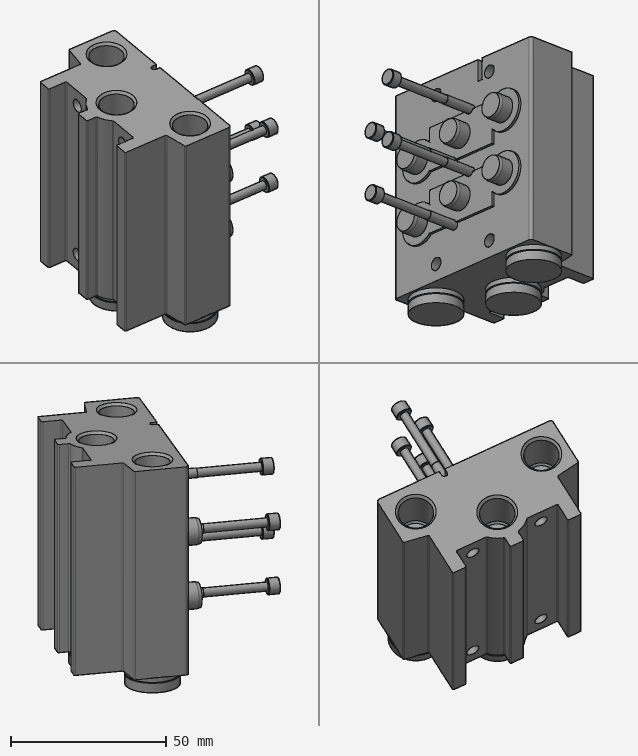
import cadquery as cq
import math

OVERALL_DEPTH = 73.1
OVERALL_HEIGHT = 77.2

HOUSING_WIDTH = 64.2
HOUSING_DEPTH = 36.0
HOUSING_HEIGHT = 71.95
BACK_EDGE_RADIUS = 1.0
SHOULDER_EDGE_Y = -18.2
SHOULDER_ROOT_Y = -19.7
LEG_OUTER_X = 23.55
LEG_INNER_X = 18.6
WEB_FRONT_Y = -29.0
CENTER_RIB_HALF_WIDTH = 2.5
CENTER_BULGE_RADIUS = 9.9
SMALL_EDGE_RADIUS = 0.5

SIDE_BORE_X = 23.0
SIDE_BORE_Y = -9.8
CENTER_BORE_Y = -22.5
BORE_CENTERS = [(-SIDE_BORE_X, SIDE_BORE_Y), (0, CENTER_BORE_Y), (SIDE_BORE_X, SIDE_BORE_Y)]
BORE_MOUTH_DIAMETER = 13.1
BORE_DIAMETER = 11.4
BORE_FLOOR_DIAMETER = 10.1
BORE_DEPTH = 15.45

COLLAR_DIAMETER = 18.0
COLLAR_HEIGHT = OVERALL_HEIGHT - HOUSING_HEIGHT
COLLAR_GROOVE_DEPTH = 0.2
COLLAR_GROOVE_WIDTH = 0.2
COLLAR_GROOVE_BELOW_HOUSING = 1.7

MOUNT_HOLE_DIAMETER = 4.5
MOUNT_HOLE_X = 12.5
MOUNT_HOLE_INSET = 6.0
SLOT_X = -8.1
SLOT_WIDTH = 2.0
SLOT_DEPTH = 2.55
SLOT_HEIGHT = 7.7

PLATE_CENTERS_Z = (47.1, 24.9)
PLATE_THICKNESS = 0.9
PLATE_END_RADIUS = 7.3
PLATE_BAR_HALF_LENGTH = 14.7
PLATE_BAR_HALF_HEIGHT = 7.65
PORT_X = 20.0
PORT_Z = 2.5
PORT_CENTERS = [(-PORT_X, PORT_Z), (0, 0), (PORT_X, -PORT_Z)]
PORT_DIAMETER = 8.9
PORT_TOP_Y = 6.5
PORT_CHAMFER_HEIGHT = 1.15
PORT_CHAMFER_WIDTH = 0.3
SCREW_NOTCH_DIAMETER = 3.5

SCREW_X = 4.0
SCREW_Z = 8.1
SCREW_OFFSETS = [(-SCREW_X, SCREW_Z), (SCREW_X, -SCREW_Z)]
HEAD_DIAMETER = 5.5
HEAD_TOP_Y = OVERALL_DEPTH - HOUSING_DEPTH
HEAD_HEIGHT = 3.85
HEAD_CHAMFER = 0.2
SHANK_DIAMETER = 3.0
THREAD_DIAMETER = 3.25
THREAD_START_Y = 11.8
THREAD_LENGTH = 18.0
THREAD_END_Y = THREAD_START_Y - THREAD_LENGTH

SCREW_CENTERS = [(x, plate_z + z) for plate_z in PLATE_CENTERS_Z for x, z in SCREW_OFFSETS]


def cylinder_along_y(diameter, start_y, end_y, x, z):
    """Cylinder from start_y toward the larger end_y."""
    return cq.Workplane("XZ", origin=(x, start_y, z)).circle(diameter / 2).extrude(start_y - end_y)


def make_profile():
    half_width = HOUSING_WIDTH / 2
    bulge_half_width = math.sqrt(CENTER_BULGE_RADIUS**2 - (CENTER_BORE_Y - WEB_FRONT_Y)**2)
    rib_root_y = CENTER_BORE_Y - math.sqrt(CENTER_BULGE_RADIUS**2 - CENTER_RIB_HALF_WIDTH**2)

    profile = (
        cq.Workplane("XY")
        .moveTo(-half_width, 0)
        .lineTo(half_width, 0)
        .lineTo(half_width, SHOULDER_EDGE_Y)
        .lineTo(LEG_OUTER_X, SHOULDER_ROOT_Y)
        .lineTo(LEG_OUTER_X, -HOUSING_DEPTH)
        .lineTo(LEG_INNER_X, -HOUSING_DEPTH)
        .lineTo(LEG_INNER_X, WEB_FRONT_Y)
        .lineTo(bulge_half_width, WEB_FRONT_Y)
        .radiusArc((CENTER_RIB_HALF_WIDTH, rib_root_y), CENTER_BULGE_RADIUS)
        .lineTo(CENTER_RIB_HALF_WIDTH, -HOUSING_DEPTH)
        .lineTo(-CENTER_RIB_HALF_WIDTH, -HOUSING_DEPTH)
        .lineTo(-CENTER_RIB_HALF_WIDTH, rib_root_y)
        .radiusArc((-bulge_half_width, WEB_FRONT_Y), CENTER_BULGE_RADIUS)
        .lineTo(-LEG_INNER_X, WEB_FRONT_Y)
        .lineTo(-LEG_INNER_X, -HOUSING_DEPTH)
        .lineTo(-LEG_OUTER_X, -HOUSING_DEPTH)
        .lineTo(-LEG_OUTER_X, SHOULDER_ROOT_Y)
        .lineTo(-half_width, SHOULDER_EDGE_Y)
        .close()
    )
    body = profile.extrude(HOUSING_HEIGHT)

    body = body.edges("|Z and >Y").fillet(BACK_EDGE_RADIUS)
    small_corners = [
        (half_width, SHOULDER_EDGE_Y),
        (LEG_OUTER_X, SHOULDER_ROOT_Y),
        (LEG_INNER_X, WEB_FRONT_Y),
        (bulge_half_width, WEB_FRONT_Y),
        (CENTER_RIB_HALF_WIDTH, rib_root_y),
    ]
    small_corners += [(x, -HOUSING_DEPTH) for x in (LEG_OUTER_X, LEG_INNER_X, CENTER_RIB_HALF_WIDTH)]
    for x, y in small_corners:
        for side in (-1, 1):
            corner = cq.selectors.NearestToPointSelector((side * x, y, HOUSING_HEIGHT / 2))
            body = body.edges(corner).fillet(SMALL_EDGE_RADIUS)
    return body


def make_bore(x, y):
    """Blind bore with a chamfered mouth and a chamfered floor, ready to cut."""
    mouth_chamfer = (BORE_MOUTH_DIAMETER - BORE_DIAMETER) / 2
    floor_chamfer = (BORE_DIAMETER - BORE_FLOOR_DIAMETER) / 2
    floor_z = HOUSING_HEIGHT - BORE_DEPTH
    return (
        cq.Workplane("XZ", origin=(x, y, 0))
        .moveTo(0, floor_z)
        .lineTo(BORE_FLOOR_DIAMETER / 2, floor_z)
        .lineTo(BORE_DIAMETER / 2, floor_z + floor_chamfer)
        .lineTo(BORE_DIAMETER / 2, HOUSING_HEIGHT - mouth_chamfer)
        .lineTo(BORE_MOUTH_DIAMETER / 2, HOUSING_HEIGHT)
        .lineTo(0, HOUSING_HEIGHT)
        .close()
        .revolve(360, (0, 0, 0), (0, 1, 0))
    )


def make_slot():
    """Round-bottomed slot in the back face, open at the top."""
    round_center_y = -SLOT_DEPTH + SLOT_WIDTH / 2
    return (
        cq.Workplane("XY", origin=(SLOT_X, 0, HOUSING_HEIGHT - SLOT_HEIGHT))
        .moveTo(-SLOT_WIDTH / 2, 0)
        .lineTo(-SLOT_WIDTH / 2, round_center_y)
        .threePointArc((0, -SLOT_DEPTH), (SLOT_WIDTH / 2, round_center_y))
        .lineTo(SLOT_WIDTH / 2, 0)
        .close()
        .extrude(SLOT_HEIGHT)
    )


def make_housing():
    body = make_profile()
    for x, y in BORE_CENTERS:
        body = body.cut(make_bore(x, y))
    for x in (-MOUNT_HOLE_X, MOUNT_HOLE_X):
        for z in (MOUNT_HOLE_INSET, HOUSING_HEIGHT - MOUNT_HOLE_INSET):
            body = body.cut(cylinder_along_y(MOUNT_HOLE_DIAMETER, -HOUSING_DEPTH, 0, x, z))
    for x, z in SCREW_CENTERS:
        body = body.cut(cylinder_along_y(THREAD_DIAMETER, THREAD_END_Y, 0, x, z))
    return body.cut(make_slot())


def make_collar(x, y):
    collar = (
        cq.Workplane("XY", origin=(x, y, -COLLAR_HEIGHT))
        .circle(COLLAR_DIAMETER / 2)
        .extrude(COLLAR_HEIGHT)
    )
    groove_bottom_z = -COLLAR_GROOVE_BELOW_HOUSING - COLLAR_GROOVE_WIDTH
    groove = (
        cq.Workplane("XY", origin=(x, y, groove_bottom_z))
        .circle(COLLAR_DIAMETER / 2)
        .circle(COLLAR_DIAMETER / 2 - COLLAR_GROOVE_DEPTH)
        .extrude(COLLAR_GROOVE_WIDTH)
    )
    return collar.cut(groove)


def make_port_plate(center_z):
    """Plate with round ends, three raised ports and two screw notches in its edges."""
    plate = (
        cq.Workplane("XZ", origin=(0, 0, center_z))
        .rect(2 * PLATE_BAR_HALF_LENGTH, 2 * PLATE_BAR_HALF_HEIGHT)
        .extrude(-PLATE_THICKNESS)
    )
    for x, z in (PORT_CENTERS[0], PORT_CENTERS[-1]):
        plate = plate.union(cylinder_along_y(2 * PLATE_END_RADIUS, 0, PLATE_THICKNESS, x, center_z + z))
    for x, z in SCREW_OFFSETS:
        plate = plate.cut(cylinder_along_y(SCREW_NOTCH_DIAMETER, 0, PLATE_THICKNESS, x, center_z + z))
    for x, z in PORT_CENTERS:
        port = cylinder_along_y(PORT_DIAMETER, 0, PORT_TOP_Y, x, center_z + z)
        port = port.faces(">Y").chamfer(PORT_CHAMFER_HEIGHT, PORT_CHAMFER_WIDTH)
        plate = plate.union(port)
    return plate


def make_screw(x, z):
    head_bottom_y = HEAD_TOP_Y - HEAD_HEIGHT
    head = cylinder_along_y(HEAD_DIAMETER, head_bottom_y, HEAD_TOP_Y, x, z).edges().chamfer(HEAD_CHAMFER)
    shank = cylinder_along_y(SHANK_DIAMETER, THREAD_START_Y, head_bottom_y, x, z)
    thread = cylinder_along_y(THREAD_DIAMETER, THREAD_END_Y, THREAD_START_Y, x, z)
    return head.union(shank).union(thread)


housing = make_housing()
collars = [make_collar(x, y) for x, y in BORE_CENTERS]
port_plates = [make_port_plate(z) for z in PLATE_CENTERS_Z]
screws = [make_screw(x, z) for x, z in SCREW_CENTERS]

bodies = [housing, *collars, *port_plates, *screws]
result = cq.Compound.makeCompound([body.solids().val() for body in bodies])